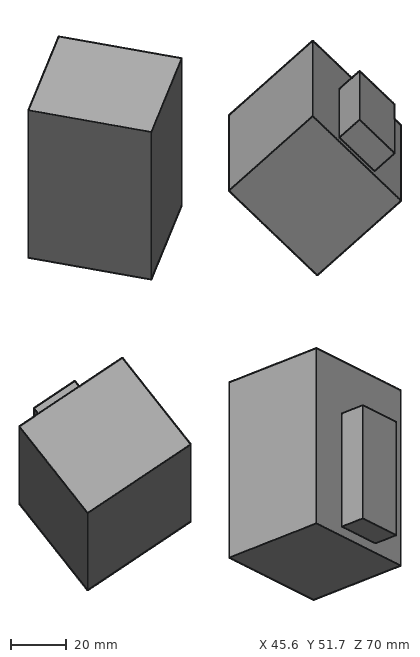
import cadquery as cq

block_width = 45.61
block_depth = 41.72
block_height = 70.0

boss_width = 18.1
boss_depth = 10.0
boss_height = 45.2
boss_bottom = 3.8


def make_block():
    """Main block, centred on X and Y, standing on Z = 0."""
    return cq.Workplane("XY").box(block_width, block_depth, block_height, centered=(True, True, False))


def make_boss():
    """Boss projecting from the middle of the back face, a little above the base."""
    back_face_y = block_depth / 2
    return (
        cq.Workplane("XY")
        .box(boss_width, boss_depth, boss_height, centered=(True, False, False))
        .translate((0, back_face_y, boss_bottom))
    )


result = make_block().union(make_boss())